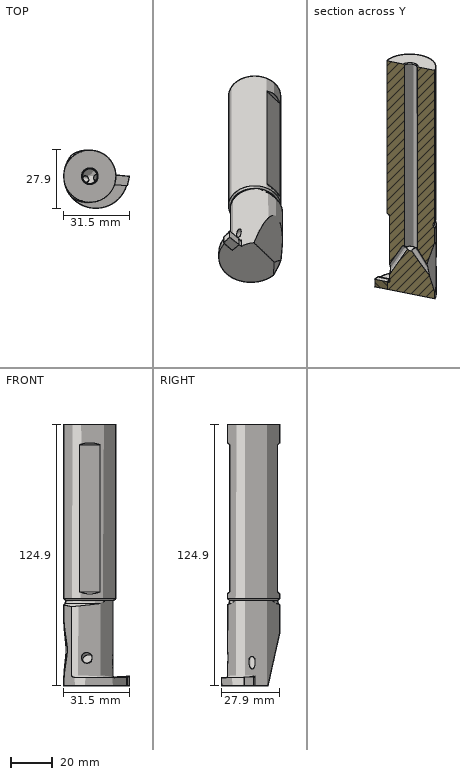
import cadquery as cq
import math


TOTAL_LENGTH = 124.9
SHANK_RADIUS = 12.5
SHANK_BOTTOM_Z = 41.7
FLAT_DEPTH = 1.0
FLAT_BOTTOM_Z = 45.0
FLAT_TOP_Z = 115.1

GROOVE_DEPTH = 0.9
GROOVE_BOTTOM_Z = 40.3
LIP_RADIUS = 11.9
LIP_Z = 39.3

SWING_RADIUS = 15.4
SWING_X = SWING_RADIUS - SHANK_RADIUS
HEAD_RADIUS = 12.5
HEAD_X = -1.4
FOOT_HEIGHT = 4.0
FOOT_FILLET = 0.9

SLOPE_BOTTOM_Y = 6.9
SLOPE_TOP_Z = 25.2
HEEL_START = (-12.4, 1.5)
HEEL_END = (-6.4, SLOPE_BOTTOM_Y)
HEEL_ANGLE = 36.0

POCKET_X = -17.9
POCKET_Y = -1.1
POCKET_Z = 17.2
POCKET_BALL_RADIUS = 9.4
POCKET_CONE_ANGLE = 18.0

BORE_RADIUS = 3.5
BORE_CHAMFER = 0.5
BORE_BOTTOM_Z = 25.0
DRILL_POINT_ANGLE = 118.0
COOLANT_RADIUS = 1.5
POCKET_HOLE_START = (-1.5, -1.4, 25.0)
POCKET_HOLE_END = (-12.5, 0.1, 10.0)
TIP_HOLE_START = (3.0, -0.7, 25.0)
TIP_HOLE_END = (12.5, -0.7, 8.7)

SIDE_HOLE_RADIUS = 2.5
SIDE_HOLE_X = -1.5
SIDE_HOLE_Z = 13.5
SIDE_HOLE_DEPTH = 4.4
SIDE_HOLE_DIRECTION = (0.15, 1.0, -0.15)
SIDE_HOLE_FLOOR_ANGLE = 30.0

TIP_HEIGHT = 4.4
TIP_HEEL = (12.5, 0.6)
TIP_NOSE = (19.0, 0.0)
TIP_END = (18.0, -4.5)
TIP_INNER = (11.9, -4.1)
TIP_FACET_CORNER = (18.4, -2.0)
TIP_NOSE_RISE = 0.4

FAR = 50.0


def cylinder(x, radius, bottom, top):
    """Upright cylinder centred on Y = 0."""
    return cq.Workplane("XY", origin=(x, 0, bottom)).circle(radius).extrude(top - bottom)


def hole(start, direction, radius, length):
    """Round hole that runs from a point along a direction."""
    return cq.Workplane(cq.Solid.makeCylinder(radius, length, cq.Vector(*start), cq.Vector(*direction)))


def hole_between(start, end, radius):
    """Round hole whose axis runs from one point to the other."""
    direction = cq.Vector(*end) - cq.Vector(*start)
    return hole(start, direction.toTuple(), radius, direction.Length)


def make_shank():
    """Round shank with two flats and a groove below it."""
    neck_radius = SHANK_RADIUS - GROOVE_DEPTH
    shank = (
        cylinder(0, SHANK_RADIUS, SHANK_BOTTOM_Z - GROOVE_DEPTH, TOTAL_LENGTH)
        .faces("<Z").chamfer(GROOVE_DEPTH)
    )
    neck = cylinder(0, neck_radius, GROOVE_BOTTOM_Z, SHANK_BOTTOM_Z)
    neck = neck.intersect(cylinder(HEAD_X, HEAD_RADIUS, GROOVE_BOTTOM_Z, SHANK_BOTTOM_Z))
    shank = shank.union(neck)
    for side in (0, 180):
        shank = shank.cut(flat_cutter().rotate((0, 0, 0), (0, 0, 1), side))
    return shank


def flat_cutter():
    """Long flat on the -Y side with ends that run out at 45 degrees."""
    overshoot = FLAT_DEPTH
    floor_y = -SHANK_RADIUS + FLAT_DEPTH
    outer_y = -SHANK_RADIUS - overshoot
    runout = FLAT_DEPTH + overshoot
    return (
        cq.Workplane("YZ")
        .polyline([
            (floor_y, FLAT_BOTTOM_Z),
            (outer_y, FLAT_BOTTOM_Z - runout),
            (outer_y, FLAT_TOP_Z + runout),
            (floor_y, FLAT_TOP_Z),
        ])
        .close()
        .extrude(SHANK_RADIUS, both=True)
    )


def behind_rake():
    """Space on the -Y side of the line through the top edge of the tip."""
    slope = (TIP_NOSE[1] - TIP_HEEL[1]) / (TIP_NOSE[0] - TIP_HEEL[0])
    return (
        cq.Workplane("XY")
        .polyline([
            (-FAR, TIP_HEEL[1] - slope * (FAR + TIP_HEEL[0])),
            (FAR, TIP_HEEL[1] + slope * (FAR - TIP_HEEL[0])),
            (FAR, -FAR),
            (-FAR, -FAR),
        ])
        .close()
        .extrude(FAR)
    )


def make_head():
    """Slim column with a coned top, bounded by the swing cylinder."""
    column = cylinder(HEAD_X, HEAD_RADIUS, 0, GROOVE_BOTTOM_Z)
    turned = (
        cq.Workplane("XZ")
        .polyline([
            (0, 0),
            (LIP_RADIUS + LIP_Z, 0),
            (LIP_RADIUS, LIP_Z),
            (SHANK_RADIUS - GROOVE_DEPTH, GROOVE_BOTTOM_Z),
            (0, GROOVE_BOTTOM_Z),
        ])
        .close()
        .revolve(360, (0, 0), (0, 1))
    )
    swing = cylinder(SWING_X, SWING_RADIUS, 0, GROOVE_BOTTOM_Z)
    return column.intersect(turned).intersect(swing)


def make_foot():
    """Disc under the head, open on the +Y side in front of the tip."""
    disc = cylinder(SWING_X, SWING_RADIUS, 0, FOOT_HEIGHT)
    fillet_top = FOOT_HEIGHT + FOOT_FILLET
    arc_dip = FOOT_FILLET * (1 - math.sqrt(0.5))
    fillet = (
        cq.Workplane("XZ", origin=(HEAD_X, 0, 0))
        .moveTo(HEAD_RADIUS - FOOT_FILLET, FOOT_HEIGHT)
        .lineTo(HEAD_RADIUS + FOOT_FILLET, FOOT_HEIGHT)
        .threePointArc((HEAD_RADIUS + arc_dip, FOOT_HEIGHT + arc_dip), (HEAD_RADIUS, fillet_top))
        .lineTo(HEAD_RADIUS - FOOT_FILLET, fillet_top)
        .close()
        .revolve(360, (0, 0), (0, 1))
        .intersect(cylinder(SWING_X, SWING_RADIUS, 0, fillet_top))
    )
    return disc.union(fillet).intersect(behind_rake())


def slope_cutter():
    """Plane that leans the +Y side of the head towards the cutting end."""
    lean = (SHANK_RADIUS - SLOPE_BOTTOM_Y) / SLOPE_TOP_Z
    return (
        cq.Workplane("YZ")
        .polyline([
            (SLOPE_BOTTOM_Y, 0),
            (SLOPE_BOTTOM_Y + lean * SHANK_BOTTOM_Z, SHANK_BOTTOM_Z),
            (FAR, SHANK_BOTTOM_Z),
            (FAR, 0),
        ])
        .close()
        .extrude(FAR, both=True)
    )


def heel_cutter():
    """Steeper plane across the -X, +Y corner of the cutting end."""
    along = cq.Vector(HEEL_END[0] - HEEL_START[0], HEEL_END[1] - HEEL_START[1], 0)
    outward = cq.Vector(-along.y, along.x, 0)
    section = cq.Plane(origin=(*HEEL_START, 0), xDir=outward.toTuple(), normal=along.toTuple())
    run = FAR * math.tan(math.radians(HEEL_ANGLE))
    return (
        cq.Workplane(section)
        .polyline([
            (0, 0),
            (run, FAR),
            (FAR, FAR),
            (FAR, 0),
        ])
        .close()
        .extrude(FAR, both=True)
    )


def pocket_cutter():
    """Upright turned shape: a ball with a tangent cone above and below it."""
    angle = math.radians(POCKET_CONE_ANGLE)
    apex = POCKET_BALL_RADIUS / math.sin(angle)
    tangent_x = POCKET_BALL_RADIUS * math.cos(angle)
    tangent_z = POCKET_BALL_RADIUS * math.sin(angle)
    return (
        cq.Workplane("XZ")
        .moveTo(0, -apex)
        .lineTo(tangent_x, -tangent_z)
        .threePointArc((POCKET_BALL_RADIUS, 0), (tangent_x, tangent_z))
        .lineTo(0, apex)
        .close()
        .revolve(360, (0, 0), (0, 1))
        .translate((POCKET_X, POCKET_Y, POCKET_Z))
    )


def bore_cutter():
    """Axial bore with a drill point and a chamfered mouth."""
    point_depth = BORE_RADIUS / math.tan(math.radians(DRILL_POINT_ANGLE / 2))
    return (
        cq.Workplane("XZ")
        .polyline([
            (0, BORE_BOTTOM_Z - point_depth),
            (BORE_RADIUS, BORE_BOTTOM_Z),
            (BORE_RADIUS, TOTAL_LENGTH - BORE_CHAMFER),
            (BORE_RADIUS + BORE_CHAMFER, TOTAL_LENGTH),
            (0, TOTAL_LENGTH),
        ])
        .close()
        .revolve(360, (0, 0), (0, 1))
    )


def side_hole_cutter():
    """Tilted hole, deepest at its top edge, with a flat leaning floor."""
    mouth = cq.Vector(SIDE_HOLE_X, -HEAD_RADIUS, SIDE_HOLE_Z)
    direction = cq.Vector(*SIDE_HOLE_DIRECTION).normalized()
    start = mouth - direction * SIDE_HOLE_RADIUS
    drilled = hole(start.toTuple(), direction.toTuple(), SIDE_HOLE_RADIUS, HEAD_RADIUS)
    angle = math.radians(SIDE_HOLE_FLOOR_ANGLE)
    middle = mouth + direction * SIDE_HOLE_DEPTH
    floor = cq.Plane(
        origin=middle.toTuple(), xDir=(1, 0, 0), normal=(0, -math.sin(angle), math.cos(angle)),
    )
    return drilled.intersect(cq.Workplane(floor).rect(FAR, FAR).extrude(FAR))


def make_holder(tip):
    """Shank, head and foot in one piece, with a seat that fits the tip."""
    holder = make_shank().union(make_head()).union(make_foot())
    holder = holder.cut(slope_cutter()).cut(heel_cutter())
    holder = holder.cut(pocket_cutter()).cut(bore_cutter()).cut(side_hole_cutter())
    holder = holder.cut(hole_between(POCKET_HOLE_START, POCKET_HOLE_END, COOLANT_RADIUS))
    holder = holder.cut(hole_between(TIP_HOLE_START, TIP_HOLE_END, COOLANT_RADIUS))
    return holder.cut(tip)


def make_tip():
    """Flat-topped tip with a facet that rises from a slanting edge to the nose."""
    block = (
        cq.Workplane("XY")
        .polyline([TIP_HEEL, TIP_NOSE, TIP_END, TIP_INNER])
        .close()
        .extrude(TIP_HEIGHT)
    )
    edge_start = cq.Vector(*TIP_HEEL, TIP_HEIGHT)
    edge = cq.Vector(*TIP_FACET_CORNER, TIP_HEIGHT) - edge_start
    rise = cq.Vector(*TIP_NOSE, TIP_HEIGHT + TIP_NOSE_RISE) - edge_start
    facet = cq.Plane(
        origin=edge_start.toTuple(), xDir=edge.toTuple(), normal=edge.cross(rise).toTuple(),
    )
    wedge = (
        cq.Workplane("XY")
        .polyline([TIP_HEEL, TIP_NOSE, TIP_FACET_CORNER])
        .close()
        .extrude(TIP_HEIGHT + TIP_NOSE_RISE)
        .cut(cq.Workplane(facet).rect(FAR, FAR).extrude(TIP_HEIGHT))
    )
    return block.union(wedge)


tip = make_tip()
holder = make_holder(tip)
result = cq.Compound.makeCompound([holder.val(), tip.val()])